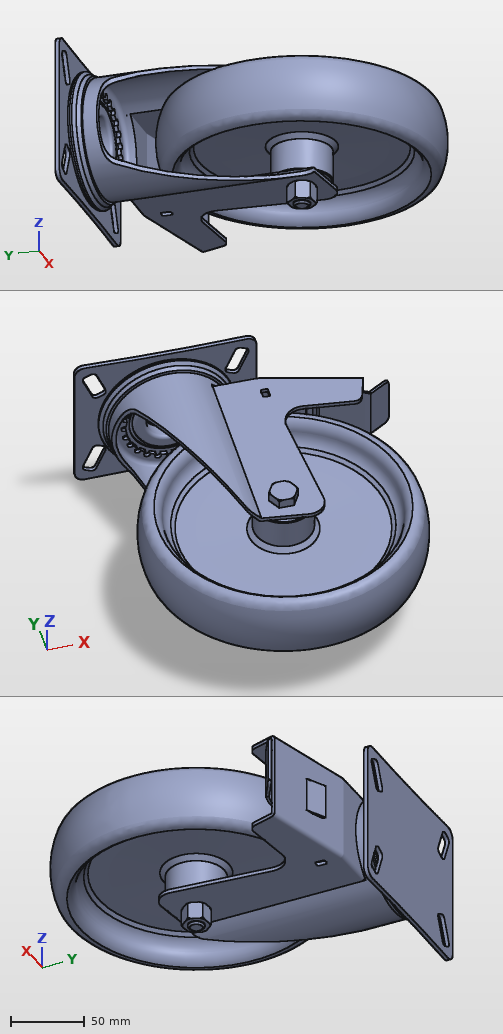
import cadquery as cq
import math


overall_length = 214.3

plate_length = 128.5
plate_width = 106.5
plate_thickness = 3.0
plate_corner_radius = 7.0
plate_edge_bow = 1.2
slot_x = 50.3
slot_z = 34.3
slot_length = 23.0
slot_width = 10.0
slot_corner_radius = 3.0
slot_angle = 67.0

bearing_radius = 48.2
bearing_end_radius = 44.4
bearing_rim_depth = 6.5
boss_radius = 25.7
boss_bore_radius = 15.8
boss_depth = 14.0
boss_round = 2.5
ring_radius = 28.0

sheet = 2.9
fork_radius = 43.2
fork_top_depth = 12.0
fork_top_round = 2.0
fork_inner_round = 3.4
neck_front_y = -22.8
leg_outer_z = 32.5
leg_inner_z = leg_outer_z - sheet
roof_depth = 20.0
roof_bend_x = 61.5
roof_end_x = 130.5
roof_end_depth = 37.6
roof_round = 3.4
arm_end_round = 6.0
arm_root_round = 14.5
leg_round = 12.0
fork_form_depth = 167.8
fork_form_end_x = 167.8
head_hole_radius = 31.0
notch_count = 24
notch_radius = 2.2
notch_circle_radius = 32.1
window_x = 61.5
window_depth = 37.2
window_width = 5.0
window_height = 7.5
window_round = 1.2

axle_x = 47.7
wheel_radius = 100.0
axle_depth = 239.8 - wheel_radius
tread_half_width = 24.0
crown_radius = 54.5
shoulder_radius = 8.2
tread_lip_radius = 88.5
wall_middle_radius = 82.7
wall_middle_z = 15.3
core_radius = 77.0
core_half_width = 6.7
web_radius = 74.0
web_step_radius = 60.0
web_half_width = 4.3
web_hub_half_width = 3.4
hub_radius = 21.3
hub_foot_radius = 25.0
hub_foot_height = 3.5
hub_half_width = leg_inner_z
hub_chamfer = 0.7

bolt_radius = 6.0
hex_across_flats = 18.0
hex_turn = 30.0
head_height = 7.0
nut_height = 13.2
nut_angle = -7.0
bolt_end_z = -47.7
bolt_end_chamfer = 1.5
hex_chamfer = 1.0

pedal_sheet = 2.0
pedal_half_width = 23.5
pedal_tip_half_width = 19.0
pedal_tip_x = overall_length - plate_length / 2
pedal_tip_depth = 31.0
pedal_tip_round = 4.3
pedal_front_x = 96.0
pedal_flange_depth = 44.5
pedal_taper_x = 124.7
pedal_bend_x = 134.5
pedal_bend_round = 1.7
tongue_half_width = 12.7
tongue_tip_x = 84.0
tongue_tip_top_y = -22.0
tongue_tip_bottom_y = -24.5
tongue_front_x = 91.8
tongue_root_x = 98.3

roof_slope = (roof_end_depth - roof_depth) / (roof_end_x - roof_bend_x)
roof_drop = sheet


def swivel_ring(profile):
    """Body turned about the swivel axis from (radius, Y) points."""
    return cq.Workplane("XY").polyline(profile).close().revolve(360, (0, 0, 0), (0, 1, 0))


def swivel_cylinder(radius, top_depth, bottom_depth):
    return (
        cq.Workplane("XZ", origin=(0, -top_depth, 0))
        .circle(radius)
        .extrude(bottom_depth - top_depth)
    )


def slab(outline, half_width):
    """Closed XY outline extruded equally to both sides of Z = 0."""
    return outline.extrude(half_width, both=True)


def on_axle(body):
    return body.translate((axle_x, -axle_depth, 0))


def make_plate():
    half_length = plate_length / 2
    half_width = plate_width / 2
    plate = (
        cq.Workplane("XZ")
        .moveTo(-half_length, -half_width)
        .threePointArc((0, -half_width + plate_edge_bow), (half_length, -half_width))
        .lineTo(half_length, half_width)
        .threePointArc((0, half_width - plate_edge_bow), (-half_length, half_width))
        .close()
        .extrude(plate_thickness)
        .edges("|Y")
        .fillet(plate_corner_radius)
    )
    for side_x in (-1, 1):
        for side_z in (-1, 1):
            slot = (
                cq.Workplane("XZ")
                .rect(slot_length, slot_width)
                .extrude(plate_thickness)
                .edges("|Y")
                .fillet(slot_corner_radius)
                .rotate((0, 0, 0), (0, 1, 0), -side_x * side_z * slot_angle)
                .translate((side_x * slot_x, 0, side_z * slot_z))
            )
            plate = plate.cut(slot)
    return plate


def make_bearing():
    return swivel_ring([
        (boss_radius, -plate_thickness),
        (bearing_radius - 1.5, -plate_thickness),
        (bearing_radius, -5.0),
        (bearing_radius, -bearing_rim_depth),
        (bearing_end_radius + 1.5, -8.9),
        (bearing_end_radius, -fork_top_depth),
        (ring_radius, -fork_top_depth),
        (ring_radius, -10.8),
        (boss_radius, -10.8),
    ])


def make_boss():
    return (
        swivel_cylinder(boss_radius, plate_thickness, boss_depth)
        .cut(swivel_cylinder(boss_bore_radius, plate_thickness, boss_depth))
        .faces("<Y")
        .edges()
        .fillet(boss_round)
    )


def roof_y(x):
    """Height of the roof's outer face, level up to the bend and sloping beyond it."""
    return -roof_depth - roof_slope * max(0, x - roof_bend_x)


def side_outline():
    """Sideways silhouette of the fork, extruded over its whole width."""
    rounded_corners = [
        (123.5, -60.7, arm_end_round),
        (66.0, -54.0, arm_root_round),
        (75.8, -161.4, leg_round),
        (22.0, -154.6, leg_round),
        (-30.7, -25.2, leg_round),
    ]
    outline = (
        cq.Workplane("XY")
        .moveTo(-fork_radius, -fork_top_depth)
        .lineTo(fork_radius, -fork_top_depth)
        .lineTo(fork_radius, -roof_depth)
        .lineTo(roof_bend_x, -roof_depth)
        .lineTo(roof_end_x, -roof_end_depth)
    )
    for x, y, _ in rounded_corners:
        outline = outline.lineTo(x, y)
    side = slab(outline.lineTo(-fork_radius, neck_front_y).close(), fork_radius)
    for x, y, radius in rounded_corners:
        corner = cq.selectors.NearestToPointSelector((x, y, 0))
        side = side.edges(corner).fillet(radius)
    return side


def roof_bar(start_x, half_width, edge_round):
    """Bar along X with its top at Y = 0 and its two upper long edges rounded."""
    bar = (
        cq.Workplane("XY")
        .moveTo(start_x, 0)
        .lineTo(fork_form_end_x, 0)
        .lineTo(fork_form_end_x, -2 * fork_form_depth)
        .lineTo(start_x, -2 * fork_form_depth)
        .close()
    )
    return slab(bar, half_width).faces(">Y").edges("|X").fillet(edge_round)


def fork_form(inset, head_round):
    """Solid form of the fork, set in from its outer faces: a tube with flat-sided arms."""
    radius = fork_radius - inset
    half_width = leg_outer_z - inset
    start_x = math.sqrt(radius**2 - half_width**2)
    far_y = -fork_form_depth

    tube = swivel_cylinder(radius, fork_top_depth + inset, fork_form_depth)
    tube = tube.faces(">Y").edges().fillet(head_round)
    behind_legs = (
        cq.Workplane("XY")
        .moveTo(start_x, -roof_depth - inset)
        .lineTo(radius, -roof_depth - inset)
        .lineTo(radius, far_y)
        .lineTo(start_x, far_y)
        .close()
    )
    tube = tube.cut(slab(behind_legs, radius))

    level_bar = roof_bar(start_x, half_width, roof_round - inset)
    sloping_bar = roof_bar(-fork_form_end_x, half_width, roof_round - inset)
    slope_angle = math.degrees(math.atan(roof_slope))
    sloping_bar = sloping_bar.rotate((roof_bend_x, 0, 0), (roof_bend_x, 0, 1), -slope_angle)
    arm = level_bar.intersect(sloping_bar).translate((0, -roof_depth - inset, 0))
    return tube.union(arm)


def make_fork(pedal):
    fork = fork_form(0, fork_top_round).cut(fork_form(sheet, fork_inner_round))
    fork = fork.intersect(side_outline())
    fork = fork.cut(swivel_cylinder(head_hole_radius, fork_top_depth, fork_top_depth + sheet))
    notches = (
        cq.Workplane("XZ", origin=(0, -fork_top_depth, 0))
        .polarArray(notch_circle_radius, 0, 360, notch_count)
        .circle(notch_radius)
        .extrude(sheet)
    )
    axle_hole = on_axle(slab(cq.Workplane("XY").circle(bolt_radius), leg_outer_z))
    window = cq.Workplane("XY", origin=(window_x, -window_depth, 0)).rect(window_width, window_height)
    window = slab(window, leg_outer_z).edges("|Z").fillet(window_round)
    return fork.cut(notches).cut(axle_hole).cut(window).cut(pedal)


def make_tread():
    crown_edge_radius = wheel_radius - crown_radius + math.sqrt(crown_radius**2 - tread_half_width**2)
    tread = (
        cq.Workplane("XZ")
        .moveTo(core_radius, -core_half_width)
        .threePointArc((80.68, -10.3), (wall_middle_radius, -wall_middle_z))
        .threePointArc((84.5, -20.4), (tread_lip_radius, -tread_half_width))
        .lineTo(crown_edge_radius, -tread_half_width)
        .threePointArc((wheel_radius, 0), (crown_edge_radius, tread_half_width))
        .lineTo(tread_lip_radius, tread_half_width)
        .threePointArc((84.5, 20.4), (wall_middle_radius, wall_middle_z))
        .threePointArc((80.68, 10.3), (core_radius, core_half_width))
        .close()
        .revolve(360, (0, 0, 0), (0, 1, 0))
    )
    tread = tread.edges(cq.selectors.RadiusNthSelector(-1)).fillet(shoulder_radius)
    return on_axle(tread)


def make_core():
    half = (
        cq.Workplane("XZ")
        .moveTo(bolt_radius, 0)
        .lineTo(bolt_radius, hub_half_width)
        .lineTo(hub_radius - hub_chamfer, hub_half_width)
        .lineTo(hub_radius, hub_half_width - hub_chamfer)
        .lineTo(hub_radius, web_hub_half_width + hub_foot_height)
        .lineTo(hub_foot_radius, web_hub_half_width)
        .lineTo(web_step_radius, web_half_width)
        .lineTo(web_radius, web_half_width)
        .lineTo(core_radius, core_half_width)
        .lineTo(core_radius, 0)
        .close()
        .revolve(360, (0, 0, 0), (0, 1, 0))
    )
    return on_axle(half.union(half.mirror("XY")))


def hexagon(bottom_z, height, chamfered_faces):
    """Hexagonal prism on the axle with its corners cut back at the chosen faces."""
    base = cq.Workplane("XY", origin=(0, 0, bottom_z))
    blank = base.circle(hex_across_flats / math.sqrt(3)).extrude(height)
    blank = blank.faces(chamfered_faces).chamfer(hex_chamfer)
    prism = base.polygon(6, hex_across_flats, circumscribed=True).extrude(height)
    return prism.rotate((0, 0, 0), (0, 0, 1), hex_turn).intersect(blank)


def make_bolt():
    head = hexagon(leg_outer_z, head_height, ">Z")
    shank = (
        cq.Workplane("XY", origin=(0, 0, bolt_end_z))
        .circle(bolt_radius)
        .extrude(leg_outer_z - bolt_end_z)
        .faces("<Z")
        .chamfer(bolt_end_chamfer)
    )
    return on_axle(head.union(shank))


def make_nut():
    nut = hexagon(-leg_outer_z - nut_height, nut_height, "<Z or >Z")
    nut = nut.rotate((0, 0, 0), (0, 0, 1), nut_angle)
    thread_hole = cq.Workplane("XY").circle(bolt_radius).extrude(-leg_outer_z - nut_height)
    return on_axle(nut.cut(thread_hole))


def make_pedal():
    flange_top = roof_y(pedal_front_x) - roof_drop
    bend_top = roof_y(roof_end_x) - roof_drop
    side = (
        cq.Workplane("XY")
        .moveTo(pedal_front_x, flange_top)
        .lineTo(roof_end_x, bend_top)
        .lineTo(pedal_bend_x - pedal_sheet / 2, bend_top)
        .lineTo(pedal_tip_x - pedal_sheet / 2, -pedal_tip_depth)
        .lineTo(pedal_tip_x, -pedal_tip_depth - pedal_sheet)
        .lineTo(pedal_bend_x, bend_top - pedal_sheet)
        .lineTo(roof_end_x, bend_top - pedal_sheet)
        .lineTo(pedal_front_x + pedal_sheet, flange_top - pedal_sheet)
        .lineTo(pedal_front_x + pedal_sheet, -pedal_flange_depth)
        .lineTo(pedal_front_x, -pedal_flange_depth)
        .close()
    )
    bent_sheet = slab(side, pedal_half_width)
    front_bend = cq.selectors.NearestToPointSelector((pedal_front_x, flange_top, 0))
    bent_sheet = bent_sheet.edges(front_bend).fillet(pedal_bend_round)
    plan = (
        cq.Workplane("XZ")
        .moveTo(pedal_front_x, -pedal_half_width)
        .lineTo(pedal_taper_x, -pedal_half_width)
        .lineTo(pedal_bend_x, -pedal_tip_half_width)
        .lineTo(pedal_tip_x, -pedal_tip_half_width)
        .lineTo(pedal_tip_x, pedal_tip_half_width)
        .lineTo(pedal_bend_x, pedal_tip_half_width)
        .lineTo(pedal_taper_x, pedal_half_width)
        .lineTo(pedal_front_x, pedal_half_width)
        .close()
        .extrude(pedal_flange_depth)
        .edges("|Y and >X")
        .fillet(pedal_tip_round)
    )
    tongue = (
        cq.Workplane("XY")
        .moveTo(tongue_tip_x, tongue_tip_top_y)
        .lineTo(tongue_root_x, roof_y(tongue_root_x))
        .lineTo(tongue_root_x, flange_top - pedal_sheet)
        .lineTo(tongue_front_x, flange_top - pedal_sheet)
        .lineTo(tongue_front_x, roof_y(tongue_front_x))
        .lineTo(tongue_tip_x, tongue_tip_bottom_y)
        .close()
    )
    return bent_sheet.intersect(plan).union(slab(tongue, tongue_half_width))


plate = make_plate()
bearing = make_bearing()
boss = make_boss()
pedal = make_pedal()
fork = make_fork(pedal)
tread = make_tread()
core = make_core()
bolt = make_bolt()
nut = make_nut()
bodies = [plate, bearing, boss, fork, tread, core, bolt, nut, pedal]
result = cq.Compound.makeCompound([body.val() for body in bodies])